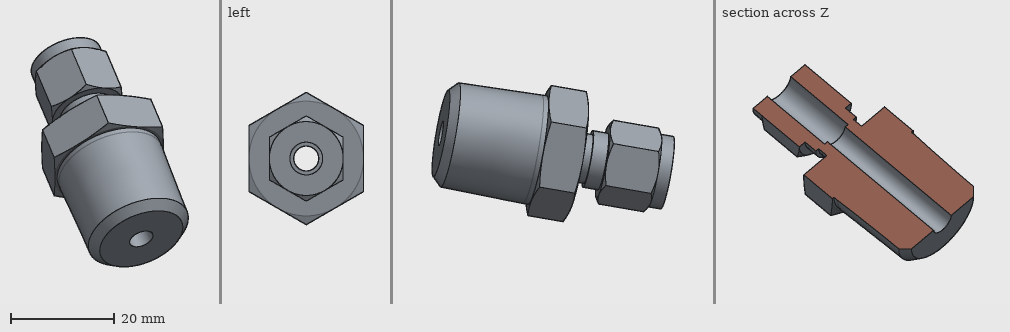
import cadquery as cq
import math


length = 44.7
nut_hex_start = 2.5
nut_hex_end = 12.7
collar_end = 15.65
body_hex_start = 17.8
body_hex_end = 25.65
taper_start = 26.65
thread_chamfer = 1.75
taper_end = length - thread_chamfer

nut_flats = 14.3
nut_collar_diameter = 14.3
collar_diameter = 11.18
neck_diameter = 9.65
body_flats = 22.2
thread_large_diameter = 21.35
thread_small_diameter = 20.5

nut_bevel_angle = 30.0
body_bevel_angle = 15.0

bore_diameter = 4.8
socket_diameter = 6.35
socket_depth = collar_end


def cylinder(start, end, diameter):
    """Round bar on the X axis between two stations."""
    return cq.Workplane("YZ", origin=(start, 0, 0)).circle(diameter / 2).extrude(end - start)


def revolve_about_x(points):
    """Solid of revolution from a closed (x, radius) outline in the upright plane."""
    return cq.Workplane("XZ").polyline(points).close().revolve(360, (0, 0, 0), (1, 0, 0))


def bevelled_hexagon(start, end, flats, bevel_angle):
    """Hexagon with corners up and down, its corners bevelled conically at both ends."""
    corner_radius = flats / math.sqrt(3)
    flat_radius = flats / 2
    bevel_length = (corner_radius - flat_radius) * math.tan(math.radians(bevel_angle))
    hexagon = (
        cq.Workplane("YZ", origin=(start, 0, 0))
        .polygon(6, 2 * corner_radius)
        .extrude(end - start)
        .rotate((0, 0, 0), (1, 0, 0), 90)
    )
    envelope = revolve_about_x([
        (start, 0),
        (start, flat_radius),
        (start + bevel_length, corner_radius),
        (end - bevel_length, corner_radius),
        (end, flat_radius),
        (end, 0),
    ])
    return hexagon.intersect(envelope)


def pipe_thread():
    """Short cylinder, then a taper ending in a 45 degree chamfer."""
    large_radius = thread_large_diameter / 2
    small_radius = thread_small_diameter / 2
    return revolve_about_x([
        (body_hex_end, 0),
        (body_hex_end, large_radius),
        (taper_start, large_radius),
        (taper_end, small_radius),
        (length, small_radius - thread_chamfer),
        (length, 0),
    ])


nut = cylinder(0, nut_hex_start, nut_collar_diameter).union(
    bevelled_hexagon(nut_hex_start, nut_hex_end, nut_flats, nut_bevel_angle)
)
collar = cylinder(nut_hex_end, collar_end, collar_diameter)
neck = cylinder(collar_end, body_hex_start, neck_diameter)
body = bevelled_hexagon(body_hex_start, body_hex_end, body_flats, body_bevel_angle)
outside = nut.union(collar).union(neck).union(body).union(pipe_thread())

bore = cylinder(0, length, bore_diameter)
socket = cylinder(0, socket_depth, socket_diameter)
result = outside.cut(bore).cut(socket)